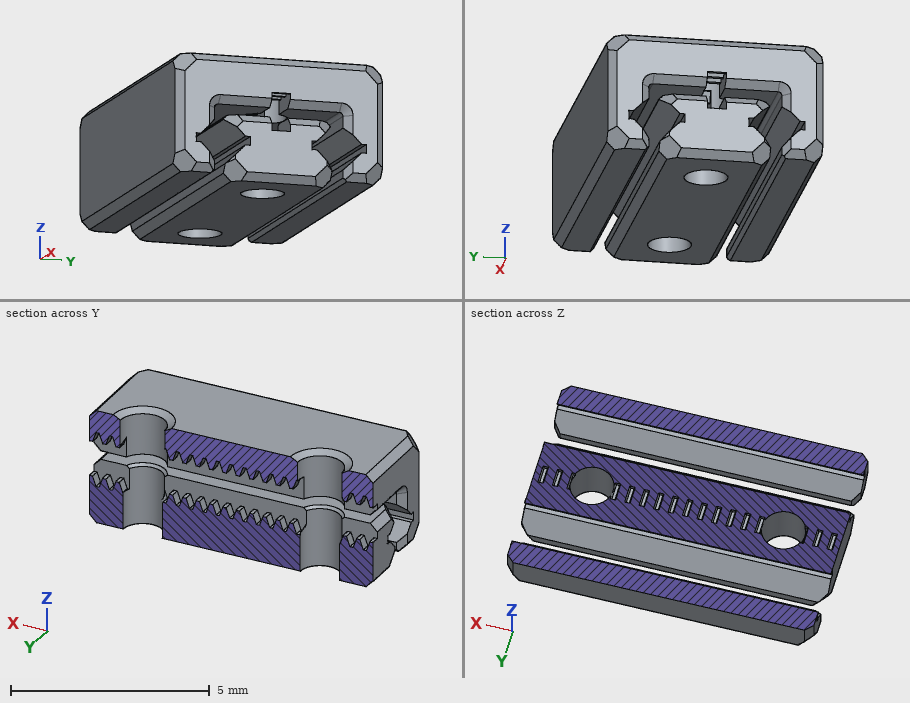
import cadquery as cq
import math

length = 8.0
carriage_width = 5.5
carriage_top = 3.2
carriage_bottom = 0.16
rail_width = 2.83
rail_top = 1.7

edge_bevel = 0.2
small_bevel = 0.1
corner_bevel = 0.36

channel_width = 3.4
channel_top = 1.94
channel_radius = 0.1
channel_flare = 0.2

raceway_side = 0.99
raceway_offset = 1.54
raceway_height = 1.0
relief_width = 1.43
relief_height = 0.22

slot_width = 0.48
slot_bottom = 1.31
slot_top = 2.29
rack_module = 0.12
pressure_angle = math.radians(20)
tooth_depth = 2.25 * rack_module
tooth_pitch = math.pi * rack_module
gaps_each_side = 10

hole_spacing = 5.0
carriage_hole_diameter = 1.25
carriage_countersink = 0.2
carriage_countersink_depth = 0.11
rail_hole_diameter = 1.1
rail_countersink = 0.07
rail_countersink_depth = 0.07

def bar(width, bottom, top):
    """Full-length rectangular bar centred on X and Y."""
    middle = (bottom + top) / 2
    return cq.Workplane("XY").box(length, width, top - bottom).translate((0, 0, middle))


def bevelled_bar(width, bottom, top, lower_bevel, upper_bevel):
    """Bar with bevelled long edges and bevelled ends.

    The long bevels are the faces of a second bar, turned 45 degrees about X,
    whose own end edges carry the larger corner bevel.
    """
    block = bar(width, bottom, top).faces("<X or >X").edges().chamfer(edge_bevel)
    upper_reach = width / 2 + top - upper_bevel
    lower_reach = width / 2 - bottom - lower_bevel
    diamond_side = (upper_reach + lower_reach) / math.sqrt(2)
    diamond_height = (upper_reach - lower_reach) / 2
    diamond = cq.Workplane("XY").box(length, diamond_side, diamond_side)
    diamond = diamond.faces("<X or >X").edges().chamfer(corner_bevel)
    diamond = diamond.rotate((0, 0, 0), (1, 0, 0), 45).translate((0, 0, diamond_height))
    return block.intersect(diamond)


def raceways():
    """Both roller raceways with their corner relief grooves."""
    cutter = cq.Workplane("XY")
    for side in (-1, 1):
        square = cq.Workplane("XY").box(length, raceway_side, raceway_side)
        square = square.rotate((0, 0, 0), (1, 0, 0), 45)
        relief = cq.Workplane("XY").box(length, relief_width, relief_height)
        groove = square.union(relief)
        cutter = cutter.add(groove.translate((0, side * raceway_offset, raceway_height)))
    return cutter.combine()


def pinion_slot():
    """Slot with tooth gaps running deeper into its floor and its roof."""
    slot_middle = (slot_bottom + slot_top) / 2
    half_height = (slot_top - slot_bottom) / 2
    mouth_half = tooth_pitch / 4 + rack_module * math.tan(pressure_angle)
    root_half = mouth_half - tooth_depth * math.tan(pressure_angle)
    root_height = half_height + tooth_depth
    gap_pair = [
        (root_half, root_height),
        (mouth_half, half_height),
        (mouth_half, -half_height),
        (root_half, -root_height),
        (-root_half, -root_height),
        (-mouth_half, -half_height),
        (-mouth_half, half_height),
        (-root_half, root_height),
    ]
    cutter = bar(slot_width, slot_bottom, slot_top)
    for index in range(-gaps_each_side, gaps_each_side + 1):
        gap = (
            cq.Workplane("XZ", origin=(index * tooth_pitch, 0, slot_middle))
            .polyline(gap_pair)
            .close()
            .extrude(slot_width / 2, both=True)
        )
        cutter = cutter.union(gap)
    return cutter


def countersunk_holes(diameter, top, countersink, depth):
    """Both screw holes from Z = 0 up to top, with a countersink at the top."""
    radius = diameter / 2
    outline = [
        (0, 0),
        (radius, 0),
        (radius, top - depth),
        (radius + countersink, top),
        (0, top),
    ]
    hole = cq.Workplane("XZ").polyline(outline).close().revolve(360, (0, 0, 0), (0, 1, 0))
    cutter = cq.Workplane("XY")
    for side in (-1, 1):
        cutter = cutter.add(hole.translate((side * hole_spacing / 2, 0, 0)))
    return cutter.combine()


def channel():
    """Rail channel, open below, with flared ends and bevelled mouth edges."""
    floor = -carriage_bottom - channel_flare
    straight = bar(channel_width, floor, channel_top)
    straight = straight.edges("|X and >Z").fillet(channel_radius)

    flared_width = channel_width + 2 * channel_flare
    flared_top = channel_top + channel_flare
    flared_floor = floor - channel_flare
    flare = (
        cq.Workplane("YZ", origin=(-length / 2, 0, (flared_top + flared_floor) / 2))
        .sketch()
        .rect(flared_width, flared_top - flared_floor)
        .vertices()
        .fillet(channel_radius + channel_flare)
        .finalize()
        .extrude(channel_flare, taper=45)
    )

    mouth_reach = channel_width / 2 + small_bevel
    mouth = (
        cq.Workplane("YZ")
        .polyline([
            (-mouth_reach, carriage_bottom),
            (mouth_reach, carriage_bottom),
            (0, carriage_bottom + mouth_reach),
        ])
        .close()
        .extrude(length / 2, both=True)
    )
    return straight.union(flare).union(flare.mirror("YZ")).union(mouth)


def make_carriage():
    body = bevelled_bar(carriage_width, carriage_bottom, carriage_top, edge_bevel, edge_bevel)
    body = body.cut(channel()).cut(raceways()).cut(pinion_slot())
    holes = countersunk_holes(
        carriage_hole_diameter, carriage_top, carriage_countersink, carriage_countersink_depth
    )
    return body.cut(holes)


def make_rail():
    body = bevelled_bar(rail_width, 0, rail_top, edge_bevel, small_bevel)
    body = body.cut(raceways()).cut(pinion_slot())
    holes = countersunk_holes(
        rail_hole_diameter, rail_top, rail_countersink, rail_countersink_depth
    )
    return body.cut(holes)


carriage = make_carriage()
rail = make_rail()

result = cq.Compound.makeCompound([carriage.val(), rail.val()])